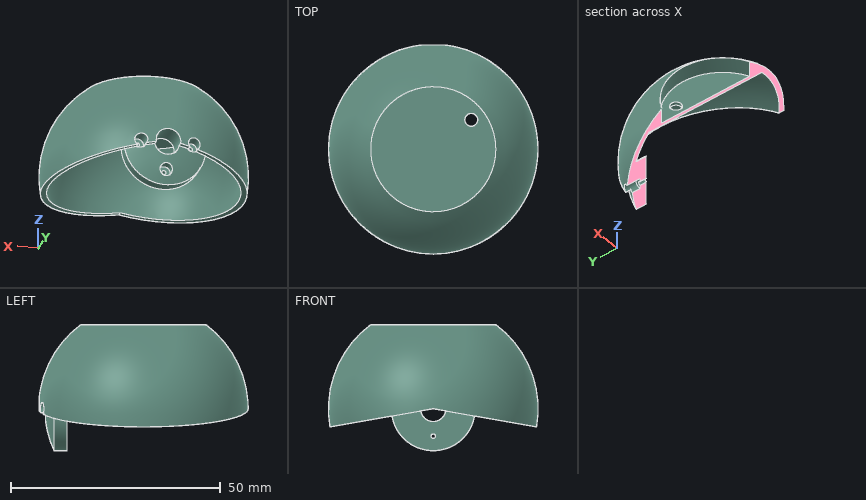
import cadquery as cq
import math

outer_radius = 25.0
wall_thickness = 1.5
inner_radius = outer_radius - wall_thickness
rim_slope = 10.0

recess_diameter = 29.8
floor_top = 15.5
floor_thickness = 1.0
floor_hole_diameter = 3.0
floor_hole_center = (9.05, 7.0)

lug_diameter = 20.0
lug_inner_face = 18.15
shaft_hole_diameter = 6.0
screw_hole_diameter = 1.0
screw_head_diameter = 3.0
screw_circle_radius = 6.5
screw_angles = (0, 180, 270)
screw_seat_thickness = 2.0
screw_head_seat = lug_inner_face + screw_seat_thickness


def cylinder_along_y(diameter, start, end, x=0.0, z=0.0):
    """Cylinder parallel to Y, spanning start to end along Y."""
    return cq.Workplane(
        cq.Solid.makeCylinder(diameter / 2, end - start, cq.Vector(x, start, z), cq.Vector(0, 1, 0))
    )


def cylinder_upward(diameter, bottom, top, x=0.0, y=0.0):
    """Cylinder parallel to Z, spanning bottom to top."""
    return cq.Workplane("XY", origin=(x, y, bottom)).circle(diameter / 2).extrude(top - bottom)


def space_above_rim():
    """Prism that keeps everything above the two sloping planes of the lower rim."""
    half_width = 2 * outer_radius
    drop = half_width * math.tan(math.radians(rim_slope))
    profile = [
        (0, 0),
        (half_width, -drop),
        (half_width, half_width),
        (-half_width, half_width),
        (-half_width, -drop),
    ]
    return cq.Workplane("XZ").polyline(profile).close().extrude(half_width, both=True)


def make_shell():
    """Spherical dome with a recessed top and a hollow underside."""
    cavity_ceiling = floor_top - floor_thickness
    below_ceiling = cylinder_upward(2 * outer_radius, -outer_radius, cavity_ceiling)
    cavity = cq.Workplane().sphere(inner_radius).intersect(below_ceiling)
    recess = cylinder_upward(recess_diameter, floor_top, outer_radius)
    floor_hole = cylinder_upward(floor_hole_diameter, 0, outer_radius, *floor_hole_center)
    dome = cq.Workplane().sphere(outer_radius).intersect(space_above_rim())
    return dome.cut(cavity).cut(recess).cut(floor_hole)


def make_lug():
    """Disc with a flat inner face and an outer face that follows the cavity sphere."""
    disc = cylinder_along_y(lug_diameter, lug_inner_face, outer_radius)
    return disc.intersect(cq.Workplane().sphere(inner_radius))


def cut_lug_holes(body):
    """Shaft hole and counterbored screw holes, open through to the outside."""
    body = body.cut(cylinder_along_y(shaft_hole_diameter, 0, outer_radius))
    for angle in screw_angles:
        x = screw_circle_radius * math.cos(math.radians(angle))
        z = screw_circle_radius * math.sin(math.radians(angle))
        body = body.cut(cylinder_along_y(screw_hole_diameter, 0, outer_radius, x, z))
        body = body.cut(cylinder_along_y(screw_head_diameter, screw_head_seat, outer_radius, x, z))
    return body


result = cut_lug_holes(make_shell().union(make_lug()))